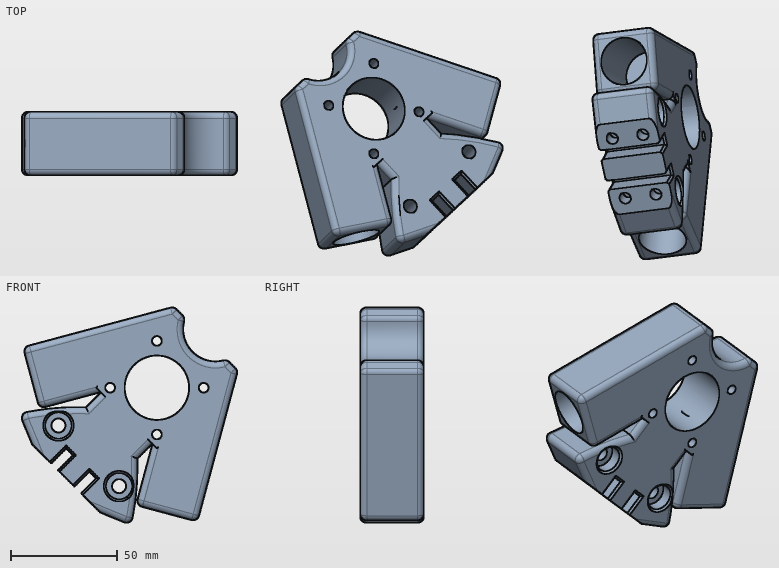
import cadquery as cq
import math

DIAGONAL_ANGLE = 45

thickness = 30.0
edge_radius = 3

arm_angle = 30
arm_outer_offset = 34.8
arm_width = 30.0
arm_end = 56.0
arm_bore_dia = 22.4
arm_bore_depth = 43.2
nose_face = 32.6
nose_notch_dia = 30.2
nose_notch_center = 38.9

neck_start = -20.2
core_end = 13.2
shoulder_s = -30.0
flank_radius = 126.7
tip_s = -54.3
tip_w = 37.2
tip_face_angle = 67.5
tail_face = -60.3

mouth_chamfer = 1
main_bore_dia = 30.2
motor_hole_dia = 4.5
motor_hole_radius = 22.0
bolt_hole_dia = 6.5
bolt_s = -45.3
bolt_w = 20.2
counterbore_dia = 12.4
counterbore_depth = 7.1

slot_w = 7.7
slot_width = 4.5
slot_bottom = -50.4
screw_hole_dia = 5.5
screw_hole_depth = 8.1
screw_w = 15.1
screw_y = 7.5

cos_arm = math.cos(math.radians(arm_angle))
sin_arm = math.sin(math.radians(arm_angle))
arm_inner_offset = arm_outer_offset - arm_width


def arm_point(along, offset):
    """Point at a distance along the upper arm and square to it, as (s, w)."""
    return (-along * cos_arm + offset * sin_arm, along * sin_arm + offset * cos_arm)


def arm_line_w(s, offset):
    """Height w at s of a line parallel to the upper arm."""
    return (offset - s * sin_arm) / cos_arm


neck_half_width = arm_line_w(neck_start, arm_inner_offset)


def plate(sketch):
    """Extrude a sketch to the full thickness, centred on the XZ plane."""
    return sketch.extrude(thickness / 2, both=True)


def profile():
    return cq.Workplane("XZ")


def symmetric(half):
    """Join a half to its mirror image across the diagonal."""
    return half.union(half.mirror("XY")).clean()


def through_cylinder(points, diameter):
    return plate(profile().pushPoints(points).circle(diameter / 2))


def make_arms():
    """Both arms and the notched nose between them, rounded on all outer edges."""
    inner_corner_s = arm_inner_offset / sin_arm
    outline = [
        (inner_corner_s, 0),
        arm_point(arm_end, arm_inner_offset),
        arm_point(arm_end, arm_outer_offset),
        (nose_face, arm_line_w(nose_face, arm_outer_offset)),
        (nose_face, 0),
    ]
    arms = symmetric(plate(profile().polyline(outline).close()))
    arms = arms.cut(through_cylinder([(nose_notch_center, 0)], nose_notch_dia))
    inner_corner = cq.NearestToPointSelector((inner_corner_s, 0, 0))
    rounded = arms.edges("|Y").edges(cq.selectors.InverseSelector(inner_corner))
    return rounded.add(arms.faces("|Y").edges()).fillet(edge_radius)


def make_tail():
    """Tail with its neck, rounded on all outer edges and cut flat at the clamping face."""
    point_s = tip_s - tip_w / math.tan(math.radians(tip_face_angle))
    half = (
        profile()
        .moveTo(0, 0)
        .lineTo(0, neck_half_width)
        .lineTo(shoulder_s, neck_half_width)
        .radiusArc((tip_s, tip_w), -flank_radius)
        .lineTo(point_s, 0)
        .close()
    )
    tail = symmetric(plate(half))
    tips = tail.edges("|Y").edges(">Z or <Z")
    tail = tips.add(tail.faces("|Y").edges()).fillet(edge_radius)
    trim_length = tail_face - point_s
    trim = cq.Workplane().box(trim_length, thickness, 2 * tip_w)
    return tail.cut(trim.translate((tail_face - trim_length / 2, 0, 0)))


def make_core():
    """Solid web joining the arms and the tail, ending square at the inner end of the gaps."""
    length = core_end - neck_start
    width = 2 * (neck_half_width + edge_radius)
    core = cq.Workplane().box(length, thickness, width)
    return core.translate((neck_start + length / 2, 0, 0))


def make_arm_bore():
    """Flat-bottomed bore along the upper arm, entered from its end face."""
    axis_offset = (arm_outer_offset + arm_inner_offset) / 2
    s, w = arm_point(arm_end, axis_offset)
    inward = cq.Vector(cos_arm, 0, -sin_arm)
    bore = cq.Solid.makeCylinder(arm_bore_dia / 2, arm_bore_depth, cq.Vector(s, 0, w), inward)
    return cq.Workplane(bore)


def make_motor_holes():
    """Four holes on a circle around the main bore, on the X and Z axes of the finished part."""
    offset = motor_hole_radius / math.sqrt(2)
    centers = [(s, w) for s in (-offset, offset) for w in (-offset, offset)]
    return through_cylinder(centers, motor_hole_dia)


def make_counterbore(w):
    """Counterbored bolt hole, entered from the -Y face, with a chamfered mouth."""
    radius = counterbore_dia / 2
    mouth = cq.Vector(bolt_s, -thickness / 2, w)
    inward = cq.Vector(0, 1, 0)
    bore = cq.Solid.makeCylinder(radius, counterbore_depth, mouth, inward)
    chamfer = cq.Solid.makeCone(radius + mouth_chamfer, radius, mouth_chamfer, mouth, inward)
    return through_cylinder([(bolt_s, w)], bolt_hole_dia).union(bore).union(chamfer)


def make_slot(w):
    """Slot into the tail face with chamfered edges on both broad faces."""
    length = slot_bottom - tail_face
    slot = cq.Workplane().box(2 * length, thickness, slot_width)
    for side in (-1, 1):
        flare = (
            cq.Workplane("XZ", origin=(0, side * thickness / 2, 0))
            .rect(2 * (length + mouth_chamfer), slot_width + 2 * mouth_chamfer)
            .workplane(offset=side * mouth_chamfer)
            .rect(2 * length, slot_width)
            .loft(ruled=True)
        )
        slot = slot.union(flare)
    return slot.translate((tail_face, 0, w))


def make_screw_holes(w):
    """Pair of blind holes bored square into the tail face."""
    return (
        cq.Workplane("YZ", origin=(tail_face, 0, w))
        .pushPoints([(-screw_y, 0), (screw_y, 0)])
        .circle(screw_hole_dia / 2)
        .extrude(screw_hole_depth)
    )


part = make_arms().union(make_tail()).union(make_core())

part = part.cut(through_cylinder([(0, 0)], main_bore_dia))
part = part.cut(make_motor_holes())

upper_arm_bore = make_arm_bore()
part = part.cut(upper_arm_bore).cut(upper_arm_bore.mirror("XY"))

for side in (-1, 1):
    part = part.cut(make_counterbore(side * bolt_w))
    part = part.cut(make_slot(side * slot_w))
    part = part.cut(make_screw_holes(side * screw_w))

result = part.rotate((0, 0, 0), (0, 1, 0), -DIAGONAL_ANGLE)